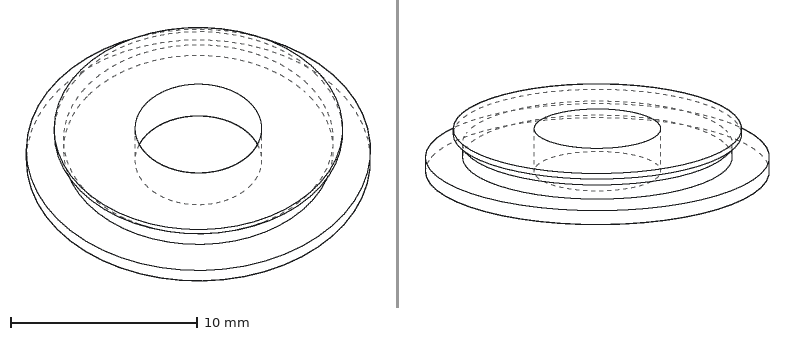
import cadquery as cq

flange_diameter = 18.5
neck_diameter = 14.5
lip_diameter = 15.5
bore_diameter = 6.8
total_height = 2.4
flange_thickness = 0.8
lip_thickness = 0.31

flange_radius = flange_diameter / 2
neck_radius = neck_diameter / 2
lip_radius = lip_diameter / 2
bore_radius = bore_diameter / 2
lip_bottom = total_height - lip_thickness
flare_height = lip_radius - neck_radius
neck_top = lip_bottom - flare_height

half_section = (
    cq.Workplane("XZ")
    .moveTo(bore_radius, 0)
    .lineTo(flange_radius, 0)
    .lineTo(flange_radius, flange_thickness)
    .lineTo(neck_radius, flange_thickness)
    .lineTo(neck_radius, neck_top)
    .lineTo(lip_radius, lip_bottom)
    .lineTo(lip_radius, total_height)
    .lineTo(bore_radius, total_height)
    .close()
)

result = half_section.revolve(360, (0, 0, 0), (0, 1, 0))